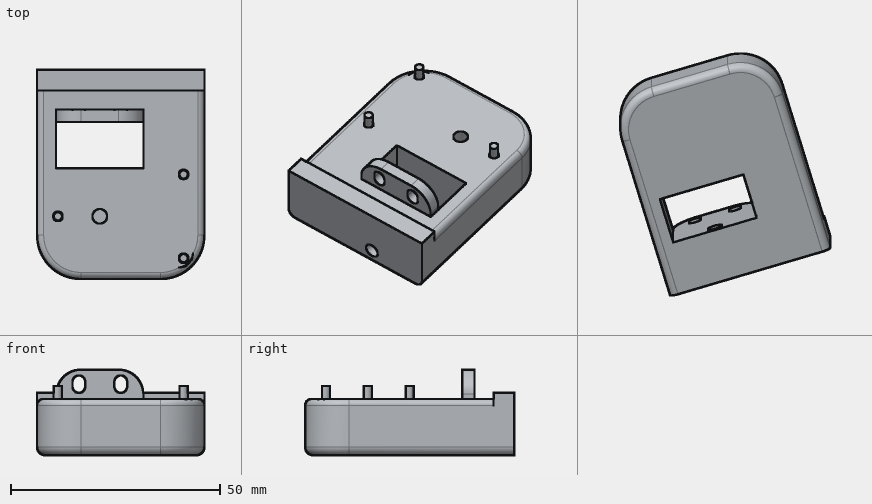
import cadquery as cq

width = 40.0
length = 50.0
deck_height = 13.5
corner_radius = 10.5
bottom_fillet = 2.0
top_fillet = 1.6

ledge_height = 15.0
ledge_depth = 5.0

window_width = 20.8
window_x = -5.0
window_back = 12.5
window_front = 1.5

bracket_top = 20.5
bracket_thickness = 3.0
bracket_radius = 5.9
slot_diameter = 3.0
slot_length = 4.1
slot_spacing = 10.0
slot_z = 17.0

pin_diameter = 2.0
pin_top = 16.6
pin_groove_width = 0.15
pin_groove_depth = 1.0
pin_points = [(15.0, 0.0), (-15.0, -10.0), (15.0, -20.0)]

pad_diameter = 8.0
pad_chamfer = 0.35
pad_height = 0.75
pad_x = 13.6
pad_y = -18.6

hole_diameter = 3.5
hole_depth = 10.0
hole_y = -10.0

wire_hole_diameter = 3.5
wire_hole_z = 3.2

back = length / 2


def make_body():
    """Block with rounded front corners, filleted rims and a square ledge at the back."""
    body = cq.Workplane("XY").box(width, length, deck_height, centered=(True, True, False))
    body = body.edges("|Z and <Y").fillet(corner_radius)
    body = body.faces("<Z").edges("not >Y").fillet(bottom_fillet)
    body = body.faces(">Z").edges("not >Y").fillet(top_fillet)
    ledge_base = deck_height - top_fillet
    ledge = (
        cq.Workplane("XY", origin=(0, back - ledge_depth / 2, ledge_base))
        .box(width, ledge_depth, ledge_height - ledge_base, centered=(True, True, False))
    )
    return body.union(ledge)


def make_bracket():
    """Upright plate with rounded top corners and two vertical slots."""
    bracket = (
        cq.Workplane("XY", origin=(window_x, window_back + bracket_thickness / 2, 0))
        .box(window_width, bracket_thickness, bracket_top, centered=(True, True, False))
        .edges("|Y and >Z")
        .fillet(bracket_radius)
    )
    slots = (
        cq.Workplane("XZ", origin=(window_x, window_back + bracket_thickness, slot_z))
        .rarray(slot_spacing, 0.5, 2, 1)
        .slot2D(slot_length, slot_diameter, 90)
        .extrude(bracket_thickness)
    )
    return bracket.cut(slots)


def make_window():
    window_depth = window_back - window_front
    return (
        cq.Workplane("XY", origin=(window_x, window_front + window_depth / 2, 0))
        .box(window_width, window_depth, deck_height, centered=(True, True, False))
    )


deck_hole = (
    cq.Workplane("XY", origin=(window_x, hole_y, deck_height))
    .circle(hole_diameter / 2)
    .extrude(-hole_depth)
)

wire_hole = (
    cq.Workplane("XZ", origin=(window_x, back, wire_hole_z))
    .circle(wire_hole_diameter / 2)
    .extrude(back - window_back)
)

pad = (
    cq.Workplane("XY", origin=(pad_x, pad_y, deck_height - pad_height))
    .circle(pad_diameter / 2)
    .extrude(pad_height)
    .faces(">Z")
    .chamfer(pad_chamfer)
)


def make_pin_cylinders(diameter, top):
    """Cylinders at the pin positions, rising from the floor of the pin grooves."""
    floor = deck_height - pin_groove_depth
    return (
        cq.Workplane("XY", origin=(0, 0, floor))
        .pushPoints(pin_points)
        .circle(diameter / 2)
        .extrude(top - floor)
    )


pin_grooves = make_pin_cylinders(pin_diameter + 2 * pin_groove_width, deck_height)
pins = make_pin_cylinders(pin_diameter, pin_top)

result = make_body().union(make_bracket()).union(pad)
for cutter in (make_window(), deck_hole, wire_hole, pin_grooves):
    result = result.cut(cutter)
result = result.union(pins)